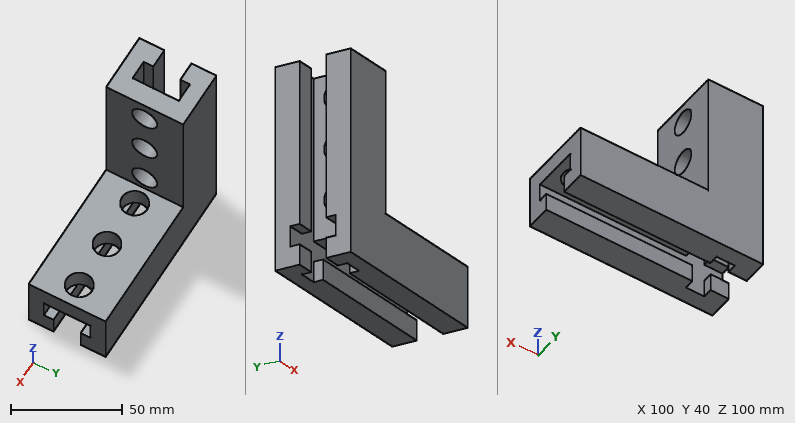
import cadquery as cq

leg_length = 100.0
leg_thickness = 30.0
width = 40.0
slot_mouth_width = 14.0
slot_inner_width = 24.0
lip_thickness = 10.0
slot_depth = 20.0
hole_diameter = 13.0
hole_pitch = 25.0
first_hole = 39.0
hole_count = 3


def t_slot(plane):
    """T-slot cutter along a leg; local Y runs from the outer face into the leg."""
    half_mouth = slot_mouth_width / 2
    half_inner = slot_inner_width / 2
    half_profile = [
        (half_mouth, 0),
        (half_mouth, lip_thickness),
        (half_inner, lip_thickness),
        (half_inner, slot_depth),
    ]
    mirrored = [(-across, depth) for across, depth in reversed(half_profile)]
    return cq.Workplane(plane).polyline(half_profile + mirrored).close().extrude(leg_length)


def hole_row(plane):
    """Row of holes along local X, drilled through the leg thickness."""
    centres = [(first_hole + i * hole_pitch, 0) for i in range(hole_count)]
    return cq.Workplane(plane).pushPoints(centres).circle(hole_diameter / 2).extrude(leg_thickness)


body = (
    cq.Workplane("XZ")
    .polyline([
        (0, 0),
        (leg_length, 0),
        (leg_length, leg_thickness),
        (leg_thickness, leg_thickness),
        (leg_thickness, leg_length),
        (0, leg_length),
    ])
    .close()
    .extrude(width / 2, both=True)
)

horizontal_slot = t_slot("YZ")
upright_slot = t_slot(cq.Plane(origin=(0, 0, 0), xDir=(0, -1, 0), normal=(0, 0, 1)))
horizontal_holes = hole_row("XY")
upright_holes = hole_row(cq.Plane(origin=(0, 0, 0), xDir=(0, 0, 1), normal=(1, 0, 0)))

result = (
    body
    .cut(horizontal_slot)
    .cut(upright_slot)
    .cut(horizontal_holes)
    .cut(upright_holes)
)